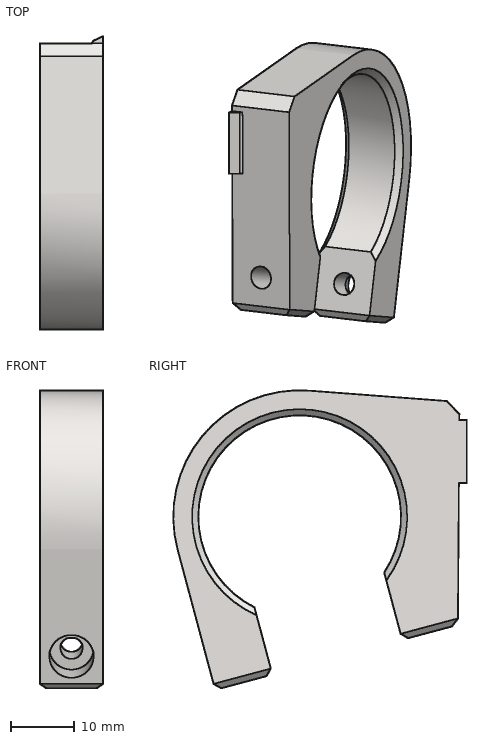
import cadquery as cq
import math

WIDTH = 10.0
BORE_RADIUS = 16.0
RING_RADIUS = 20.0
BORE_CHAMFER = 1.0

MOUTH_TILT = 15.0
MOUTH_GAP = 21.2
JAW_LENGTH = 23.0
JAW_CHAMFER = 1.0

WALL_OFFSET = 25.15
WALL_LEAN = 0.4
BEVEL_WALL_Z = 16.2
BEVEL_TOP_Y = 23.25
BEVEL_TOP_Z = 18.3

SCREW_DISTANCE = 17.5
HEAD_DIAMETER = 7.0
HEAD_DEPTH = 5.0
SCREW_DIAMETER = 3.5

RIB_WIDTH = 1.85
RIB_TIP_Y = 26.42
RIB_SHOULDER_WIDTH = 1.55
RIB_SHOULDER_Y = 25.68
RIB_FOOT_Y = 25.25
RIB_ROOT_DEPTH = 0.5
RIB_BOTTOM_Z = 5.3
RIB_LENGTH = 10.0

tilt = math.radians(MOUTH_TILT)
lean = math.radians(WALL_LEAN)
half_width = WIDTH / 2

side_plane = cq.Plane(origin=(0, 0, 0), xDir=(0, 1, 0), normal=(1, 0, 0))
mouth_across = cq.Vector(0, -math.cos(tilt), -math.sin(tilt))
mouth_out = cq.Vector(0, math.sin(tilt), -math.cos(tilt))
mouth_plane = cq.Plane(origin=(0, 0, 0), xDir=mouth_across, normal=(1, 0, 0))


def ring_point(angle):
    """Point (Y, Z) on the outer ring at an angle measured from +Y toward +Z."""
    return RING_RADIUS * math.cos(angle), RING_RADIUS * math.sin(angle)


def wall_y(z):
    """Y of the leaning back wall at height z."""
    return WALL_OFFSET + z * math.tan(lean)


def make_body():
    """Solid outline: ring arc, tangent flats, bevelled corner, back wall and jaw end plane."""
    bevel_distance = math.hypot(BEVEL_TOP_Y, BEVEL_TOP_Z)
    bevel_angle = math.atan2(BEVEL_TOP_Z, BEVEL_TOP_Y)
    top_tangent = bevel_angle + math.acos(RING_RADIUS / bevel_distance)
    jaw_tangent = math.pi + tilt
    jaw_start = ring_point(jaw_tangent)
    jaw_tip = (
        jaw_start[0] + JAW_LENGTH * math.sin(tilt),
        jaw_start[1] - JAW_LENGTH * math.cos(tilt),
    )
    end_z0 = -JAW_LENGTH / math.cos(tilt)
    wall_foot_z = (end_z0 + WALL_OFFSET * math.tan(tilt)) / (1 - math.tan(lean) * math.tan(tilt))
    return (
        cq.Workplane(side_plane)
        .moveTo(wall_y(BEVEL_WALL_Z), BEVEL_WALL_Z)
        .lineTo(BEVEL_TOP_Y, BEVEL_TOP_Z)
        .lineTo(*ring_point(top_tangent))
        .threePointArc(ring_point((top_tangent + jaw_tangent) / 2), jaw_start)
        .lineTo(*jaw_tip)
        .lineTo(wall_y(wall_foot_z), wall_foot_z)
        .close()
        .extrude(half_width, both=True)
    )


def make_mouth():
    """Slot that opens the ring between the jaws."""
    return (
        cq.Workplane(mouth_plane)
        .center(0, JAW_LENGTH / 2)
        .rect(MOUTH_GAP, JAW_LENGTH)
        .extrude(half_width, both=True)
    )


def make_bore():
    """Bore with a chamfered rim on both sides."""
    rim_radius = BORE_RADIUS + BORE_CHAMFER
    straight = half_width - BORE_CHAMFER
    return (
        cq.Workplane("XY")
        .polyline([
            (-half_width, 0),
            (-half_width, rim_radius),
            (-straight, BORE_RADIUS),
            (straight, BORE_RADIUS),
            (half_width, rim_radius),
            (half_width, 0),
        ])
        .close()
        .revolve(360, (0, 0, 0), (1, 0, 0))
    )


def screw_cylinder(diameter, length):
    """Cylinder on the screw axis, running from the front jaw's outer face toward the back wall."""
    start = mouth_out * SCREW_DISTANCE + mouth_across * RING_RADIUS
    return cq.Workplane(obj=cq.Solid.makeCylinder(diameter / 2, length, start, mouth_across * -1))


def make_screw_holes():
    """Screw hole through both jaws with a counterbore for the head in the front jaw."""
    head = screw_cylinder(HEAD_DIAMETER, HEAD_DEPTH)
    shank = screw_cylinder(SCREW_DIAMETER, RING_RADIUS + WALL_OFFSET)
    return head.union(shank)


def make_rib():
    """Wedge rib: a steep shoulder, then a gentler slope up to its tip at the +X side."""
    rib_root_y = WALL_OFFSET - RIB_ROOT_DEPTH
    return (
        cq.Workplane("XY")
        .workplane(offset=RIB_BOTTOM_Z)
        .polyline([
            (half_width - RIB_WIDTH, rib_root_y),
            (half_width - RIB_WIDTH, RIB_FOOT_Y),
            (half_width - RIB_SHOULDER_WIDTH, RIB_SHOULDER_Y),
            (half_width, RIB_TIP_Y),
            (half_width, rib_root_y),
        ])
        .close()
        .extrude(RIB_LENGTH)
    )


jaw_ends = cq.selectors.DirectionMinMaxSelector(mouth_out, True)
clamp = make_body().cut(make_mouth()).cut(make_bore())
clamp = clamp.faces(jaw_ends).edges().chamfer(JAW_CHAMFER)
result = clamp.cut(make_screw_holes()).union(make_rib())